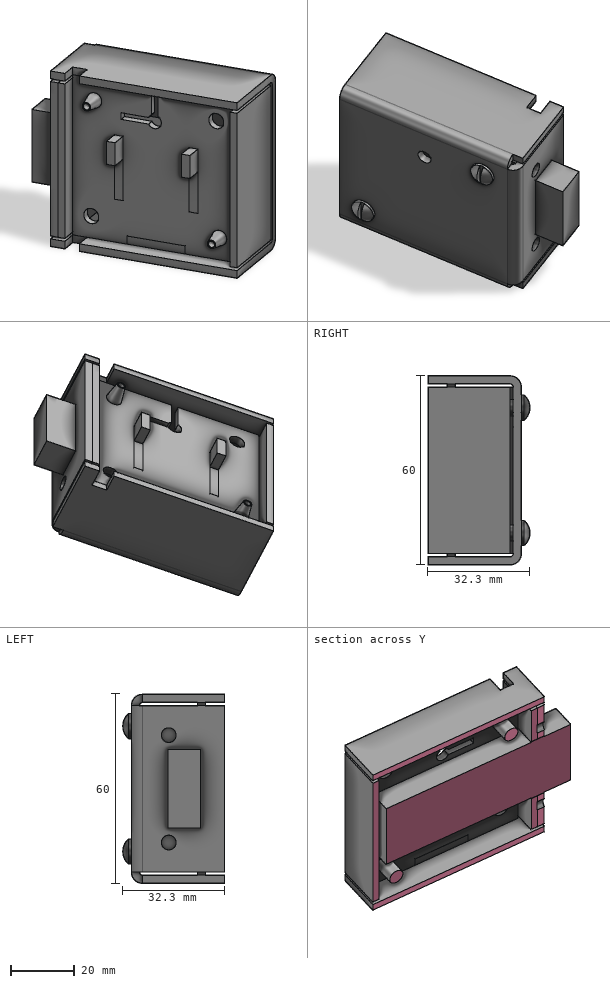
import cadquery as cq
import math


throw = 10.0
case_length = 75 - throw
case_depth = 29.55
case_height = 60.0
sheet = 2.6
bend_inner = 1.0
bend_outer = bend_inner + sheet
bend_start = case_depth - bend_outer
back_inside = case_depth - sheet
mid_height = case_height / 2

cover_wall = 2.4
plate_front = 6.0
plate_back = plate_front + sheet
cover_left = sheet
plate_left = cover_left + cover_wall
plate_right = case_length - cover_wall

notch_width = 5.0
tab_left = 23.9
tab_width = 20.25
tab_height = 2.8

keyhole_x = 33.5
keyhole_z = 46.05
keyhole_diameter = 4.7
back_keyhole_shift = 0.4
key_slot_width = 2.25
key_slot_start = 21.9

bolt_height = 24.8
bolt_z = (mid_height - bolt_height / 2, mid_height + bolt_height / 2)
bolt_front = 7.6
bolt_back = 17.85
bolt_end = 60.0
lug_width = 3.0
lug_lefts = (19.5, 45.6)
lug_bottom = 17.25
lug_height = 22.0
block_height = 7.9

shank_diameter = 5.2
head_diameter = 8.0
head_rim = 0.9
head_height = 2.8
driver_slot_width = 1.3
driver_slot_floor = 0.75
tip_diameter = 2.85
tip_hole_diameter = 2.1
hole_inset = 10.1
screw_places = ((12.5, case_height - hole_inset), (56.1, hole_inset))
spare_places = ((11.5, hole_inset), (55.05, case_height - hole_inset))
wall_hole_diameter = 4.65
wall_hole_y = 17.7
wall_hole_offset = 17.0


def block(x_range, y_range, z_range):
    """Box between two limits on each axis."""
    size = [high - low for low, high in (x_range, y_range, z_range)]
    corner = (x_range[0], y_range[0], z_range[0])
    return cq.Workplane("XY").box(*size, centered=False).translate(corner)


def rod(x, z, diameter, y_start, y_end):
    """Cylinder along +Y."""
    return cq.Workplane(cq.Solid.makeCylinder(
        diameter / 2, y_end - y_start, cq.Vector(x, y_start, z), cq.Vector(0, 1, 0)))


def bolt_body(x_start):
    """The rectangular bolt from x_start to the inside of the cover's left wall."""
    return block((x_start, plate_left), (bolt_front, bolt_back), bolt_z)


def lug(left, y_front, height):
    """Upright lug whose top is at the top of its slot and whose foot joins the carrier."""
    top = lug_bottom + lug_height
    return block((left, left + lug_width), (y_front, plate_back), (top - height, top))


def locating_tab():
    """Tab standing on the bottom flange, level with the cover plate that it fits into."""
    return block((tab_left, tab_left + tab_width), (plate_front, plate_back),
                 (sheet, sheet + tab_height))


def make_case():
    """Case: back sheet, flanges and left wall, with the bolt opening and the holes."""
    outer = block((bend_outer, case_length), (0, case_depth), (0, case_height)).edges("|X and >Y")
    inner = block((0, case_length), (0, back_inside), (sheet, case_height - sheet)).edges("|X and >Y")
    case = outer.fillet(bend_outer).cut(inner.fillet(bend_inner))
    for z in (0, case_height - sheet):
        case = case.union(block((0, bend_outer), (0, bend_start), (z, z + sheet)))
        case = case.cut(block((plate_left, plate_left + notch_width), (0, plate_front), (z, z + sheet)))

    z_range = (bend_outer, case_height - bend_outer)
    wall = block((0, 2 * bend_outer), (0, case_depth), z_range).edges("|Z and <X and >Y")
    hollow = block((sheet, 2 * bend_outer), (0, back_inside), z_range).edges("|Z and <X and >Y")
    case = case.union(wall.fillet(bend_outer).cut(hollow.fillet(bend_inner)))

    for side in (-1, 1):
        case = case.cut(cq.Workplane(cq.Solid.makeCylinder(
            wall_hole_diameter / 2, sheet,
            cq.Vector(0, wall_hole_y, mid_height + side * wall_hole_offset), cq.Vector(1, 0, 0))))
    case = case.cut(bolt_body(0))
    case = case.cut(rod(keyhole_x + back_keyhole_shift, keyhole_z, keyhole_diameter,
                        back_inside, case_depth))
    for x, z in screw_places:
        case = case.cut(rod(x, z, shank_diameter, back_inside, case_depth))
    return case.union(locating_tab())


def make_cover():
    """Cover: sunk plate between two side walls, with the slots and holes."""
    plate_y = (plate_front, plate_back)
    cover = block((plate_left, plate_right), plate_y, (sheet, case_height - sheet))
    for left in (cover_left, plate_right):
        cover = cover.union(block((left, left + cover_wall), (0, bend_start),
                                  (bend_outer, case_height - bend_outer)))
    cover = cover.cut(bolt_body(0)).cut(locating_tab())

    for x, z in screw_places + spare_places:
        cover = cover.cut(rod(x, z, shank_diameter, *plate_y))

    half_slot = key_slot_width / 2
    cover = cover.cut(rod(keyhole_x, keyhole_z, keyhole_diameter, *plate_y))
    cover = cover.cut(block((key_slot_start, keyhole_x), plate_y,
                            (keyhole_z - half_slot, keyhole_z + half_slot)))
    cover = cover.cut(block((keyhole_x - half_slot, keyhole_x + half_slot), plate_y,
                            (keyhole_z, case_height - sheet)))

    for left in lug_lefts:
        cover = cover.cut(lug(left, plate_front, lug_height))
    return cover


def make_bolt():
    """Bolt with the carrier behind the plate and the two lugs that pass through it."""
    bolt = bolt_body(-throw)
    bolt = bolt.union(block((plate_left, bolt_end), (plate_back, bolt_back), bolt_z))
    for left in lug_lefts:
        bolt = bolt.union(lug(left, plate_front, lug_height))
        bolt = bolt.union(lug(left, 0, block_height))
    return bolt


def make_screw(x, z):
    """Slotted round-head screw along Y, with a conical drilled tip in front of the plate."""
    rim = case_depth + head_rim
    top = case_depth + head_height
    rise = top - rim
    arc_mid_radius = head_diameter / 4
    dome_radius = ((head_diameter / 2) ** 2 + rise ** 2) / (2 * rise)
    arc_mid = (arc_mid_radius, top - dome_radius + math.sqrt(dome_radius ** 2 - arc_mid_radius ** 2))
    profile = (
        cq.Workplane("ZY")
        .moveTo(0, 0)
        .lineTo(tip_diameter / 2, 0)
        .lineTo(shank_diameter / 2, plate_front)
        .lineTo(shank_diameter / 2, case_depth)
        .lineTo(head_diameter / 2, case_depth)
        .lineTo(head_diameter / 2, rim)
        .threePointArc(arc_mid, (0, top))
        .close()
    )
    screw = profile.revolve(360, (0, 0, 0), (0, 1, 0)).translate((x, 0, z))
    screw = screw.cut(rod(x, z, tip_hole_diameter, 0, plate_front))

    half_slot = driver_slot_width / 2
    return screw.cut(block((x - half_slot, x + half_slot), (case_depth + driver_slot_floor, top),
                           (z - head_diameter, z + head_diameter)))


case = make_case()
cover = make_cover()
bolt = make_bolt()
screws = [make_screw(x, z) for x, z in screw_places]

result = cq.Compound.makeCompound([
    case.val(),
    cover.val(),
    bolt.val(),
    *[screw.val() for screw in screws],
])